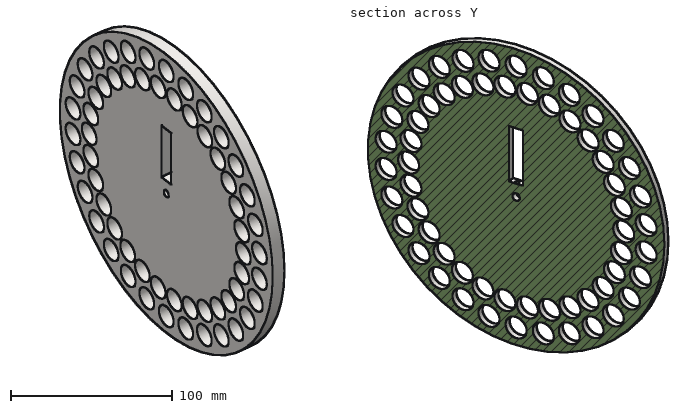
import cadquery as cq

disc_diameter = 216
disc_thickness = 9.3

ring_hole_count = 30
ring_hole_diameter = 15.0
outer_ring_radius = 95
inner_ring_radius = 78.2
ring_pitch_angle = 360 / ring_hole_count

pivot_diameter = 5.0
slot_width = 10.0
slot_bottom = 10.0
slot_top = 49.9
slot_length = slot_top - slot_bottom
slot_center = (slot_top + slot_bottom) / 2

link_bore_diameter = 2.8
link_bore_depth = 6.3


def make_disc():
    return cq.Workplane("XZ").circle(disc_diameter / 2).extrude(-disc_thickness)


def ring_of_pins(radius, start_angle):
    """Cutters for one ring of evenly spaced through holes."""
    return (
        cq.Workplane("XZ")
        .polarArray(radius, start_angle, 360, ring_hole_count)
        .circle(ring_hole_diameter / 2)
        .extrude(-disc_thickness)
    )


def pivot_cutter():
    return cq.Workplane("XZ").circle(pivot_diameter / 2).extrude(-disc_thickness)


def slot_cutter():
    return (
        cq.Workplane("XZ")
        .center(0, slot_center)
        .rect(slot_width, slot_length)
        .extrude(-disc_thickness)
    )


def link_bore_cutter():
    """Vertical bore behind mid thickness, from the pivot axis up to the slot floor."""
    return (
        cq.Workplane("XY")
        .center(0, link_bore_depth)
        .circle(link_bore_diameter / 2)
        .extrude(slot_bottom)
    )


result = (
    make_disc()
    .cut(ring_of_pins(outer_ring_radius, ring_pitch_angle / 2))
    .cut(ring_of_pins(inner_ring_radius, 0))
    .cut(pivot_cutter())
    .cut(slot_cutter())
    .cut(link_bore_cutter())
)